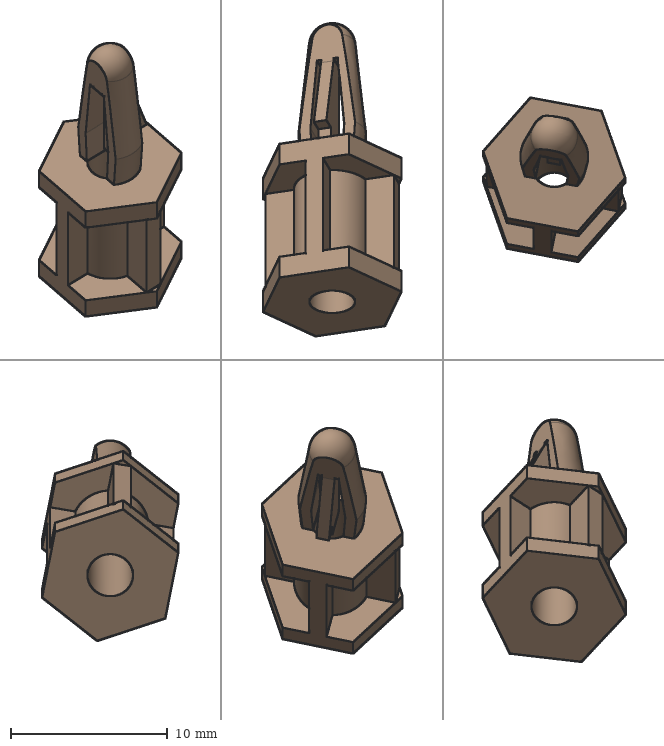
import cadquery as cq
import math

total_height = 20.2
hex_across_flats = 8.0
hex_across_corners = hex_across_flats / math.cos(math.pi / 6)
flange_thickness = 1.52
body_height = 9.8
core_diameter = 4.89
bore_diameter = 2.9
rib_thickness = 1.15
x_rib_length = hex_across_corners - rib_thickness * math.tan(math.pi / 6)

pin_thickness = 2.22
pin_base_radius = 2.02
pin_widest_radius = 2.16
pin_widest_z = 12.3
dome_radius = 1.5
window_top_z = 17.2
window_top_width = 1.37
window_widest_width = 2.25
window_base_width = 2.0

latch_width = 0.83
latch_front_y = -0.16
latch_top_z = 16.99
latch_lip_y = 2.69
latch_lip_z = 11.8
latch_foot_y = 1.7
latch_bottom_z = 10.83


def make_body():
    """Two hexagonal flanges joined by a round core with four ribs, bored through."""
    flange = cq.Workplane("XY").polygon(6, hex_across_corners).extrude(flange_thickness)
    core = cq.Workplane("XY").circle(core_diameter / 2).extrude(body_height)
    x_ribs = cq.Workplane("XY").rect(x_rib_length, rib_thickness).extrude(body_height)
    y_ribs = cq.Workplane("XY").rect(rib_thickness, hex_across_flats).extrude(body_height)
    upper_flange = flange.translate((0, 0, body_height - flange_thickness))
    body = core.union(x_ribs).union(y_ribs).union(flange).union(upper_flange)
    bore = cq.Workplane("XY").circle(bore_diameter / 2).extrude(body_height)
    return body.cut(bore)


def make_pin():
    """Revolved pin with a tangent dome, flattened front and back, with an open window."""
    dome_center_z = total_height - dome_radius
    drop = dome_center_z - pin_widest_z
    distance = math.hypot(pin_widest_radius, drop)
    tangent_angle = math.acos(dome_radius / distance) - math.atan2(drop, pin_widest_radius)
    middle_angle = (tangent_angle + math.pi / 2) / 2

    def dome_point(angle):
        return (dome_radius * math.cos(angle), dome_center_z + dome_radius * math.sin(angle))

    solid_pin = (
        cq.Workplane("XZ")
        .moveTo(0, body_height)
        .lineTo(pin_base_radius, body_height)
        .lineTo(pin_widest_radius, pin_widest_z)
        .lineTo(*dome_point(tangent_angle))
        .threePointArc(dome_point(middle_angle), (0, total_height))
        .close()
        .revolve(360, (0, 0, 0), (0, 1, 0))
    )
    flats = (
        cq.Workplane("XY")
        .workplane(offset=body_height)
        .rect(2 * pin_widest_radius, pin_thickness)
        .extrude(total_height - body_height)
    )
    window = (
        cq.Workplane("XZ")
        .polyline([
            (-window_base_width / 2, body_height),
            (window_base_width / 2, body_height),
            (window_widest_width / 2, pin_widest_z),
            (window_top_width / 2, window_top_z),
            (-window_top_width / 2, window_top_z),
            (-window_widest_width / 2, pin_widest_z),
        ])
        .close()
        .extrude(pin_thickness / 2, both=True)
    )
    return solid_pin.intersect(flats).cut(window)


def make_latch():
    """Wedge hanging from the window top, with a rounded root and a stepped lip."""
    pin_face_y = pin_thickness / 2
    root_radius = latch_front_y + pin_face_y
    root_sag = root_radius * math.sqrt(0.5)
    root_middle = (-pin_face_y + root_sag, window_top_z - root_radius + root_sag)
    return (
        cq.Workplane("YZ")
        .moveTo(latch_front_y, latch_bottom_z)
        .lineTo(latch_foot_y, latch_bottom_z)
        .lineTo(latch_foot_y, latch_lip_z)
        .lineTo(latch_lip_y, latch_lip_z)
        .lineTo(pin_face_y, latch_top_z)
        .lineTo(pin_face_y, window_top_z)
        .lineTo(-pin_face_y, window_top_z)
        .threePointArc(root_middle, (latch_front_y, window_top_z - root_radius))
        .close()
        .extrude(latch_width / 2, both=True)
    )


result = make_body().union(make_pin()).union(make_latch())